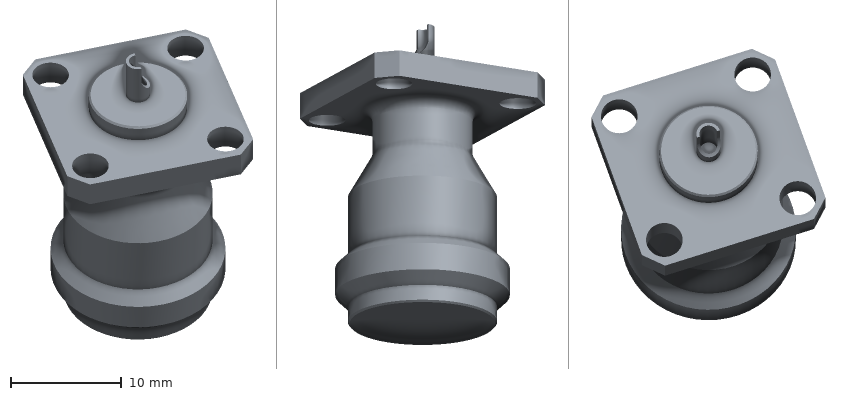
import cadquery as cq
import math

total_height = 28.02
lower_flare_bottom = 1.57
collar_bottom = 2.7
collar_top = 5.18
upper_flare_top = 6.28
cone_bottom = 11.9
flange_bottom = 20.0
flange_top = 22.42
boss_top = 23.95

body_radius = 6.75
collar_radius = 7.9
neck_radius = 4.55
cone_half_angle = math.radians(30)
neck_blend_radius = 0.78
flange_fillet = 0.95
edge_chamfer = 0.17

flange_width = 17.5
flange_corner_chamfer = 1.65
hole_offset = 6.35
hole_diameter = 3.3

boss_radius = 4.45
pin_radius = 1.1
pin_bore_radius = 0.8
cup_low_rise = 1.12
cup_mid_offset = 0.45
cup_mid_rise = 1.57
cup_high_rise = 2.38


def make_body():
    """Turned connector body with a bevelled collar, a cone and a filleted neck."""
    cone_top = cone_bottom + (body_radius - neck_radius) / math.tan(cone_half_angle)
    blend_length = neck_blend_radius * math.tan(cone_half_angle / 2)
    blend_centre_r = neck_radius + neck_blend_radius
    blend_centre_z = cone_top + blend_length
    blend_low = (
        neck_radius + blend_length * math.sin(cone_half_angle),
        cone_top - blend_length * math.cos(cone_half_angle),
    )
    blend_mid = (
        blend_centre_r - neck_blend_radius * math.cos(cone_half_angle / 2),
        blend_centre_z - neck_blend_radius * math.sin(cone_half_angle / 2),
    )
    fillet_reach = flange_fillet * (1 - math.sqrt(0.5))
    profile = (
        cq.Workplane("XZ")
        .lineTo(body_radius - edge_chamfer, 0)
        .lineTo(body_radius, edge_chamfer)
        .lineTo(body_radius, lower_flare_bottom)
        .lineTo(collar_radius, collar_bottom)
        .lineTo(collar_radius, collar_top)
        .lineTo(body_radius, upper_flare_top)
        .lineTo(body_radius, cone_bottom)
        .lineTo(*blend_low)
        .threePointArc(blend_mid, (neck_radius, blend_centre_z))
        .lineTo(neck_radius, flange_bottom - flange_fillet)
        .threePointArc(
            (neck_radius + fillet_reach, flange_bottom - fillet_reach),
            (neck_radius + flange_fillet, flange_bottom),
        )
        .lineTo(0, flange_bottom)
        .close()
    )
    return profile.revolve(360, (0, 0, 0), (0, 1, 0))


def make_flange():
    """Square mounting flange with cut corners and four through holes."""
    plate = (
        cq.Workplane("XY", origin=(0, 0, flange_bottom))
        .rect(flange_width, flange_width)
        .extrude(flange_top - flange_bottom)
        .edges("|Z")
        .chamfer(flange_corner_chamfer)
    )
    return (
        plate.faces(">Z")
        .workplane()
        .rect(2 * hole_offset, 2 * hole_offset, forConstruction=True)
        .vertices()
        .hole(hole_diameter)
    )


def make_boss():
    """Round boss on the flange with a bevelled top edge."""
    return (
        cq.Workplane("XY", origin=(0, 0, flange_top))
        .circle(boss_radius)
        .extrude(boss_top - flange_top)
        .faces(">Z")
        .chamfer(edge_chamfer)
    )


def make_pin():
    """Hollow pin whose +Y half is scooped away to form a solder cup."""
    tube = (
        cq.Workplane("XY", origin=(0, 0, boss_top))
        .circle(pin_radius)
        .circle(pin_bore_radius)
        .extrude(total_height - boss_top)
    )
    scoop = (
        cq.Workplane("YZ")
        .moveTo(0, total_height)
        .lineTo(0, boss_top + cup_high_rise)
        .threePointArc(
            (cup_mid_offset, boss_top + cup_mid_rise),
            (pin_radius, boss_top + cup_low_rise),
        )
        .lineTo(pin_radius, total_height)
        .close()
        .extrude(pin_radius, both=True)
    )
    return tube.cut(scoop)


result = make_body().union(make_flange()).union(make_boss()).union(make_pin())